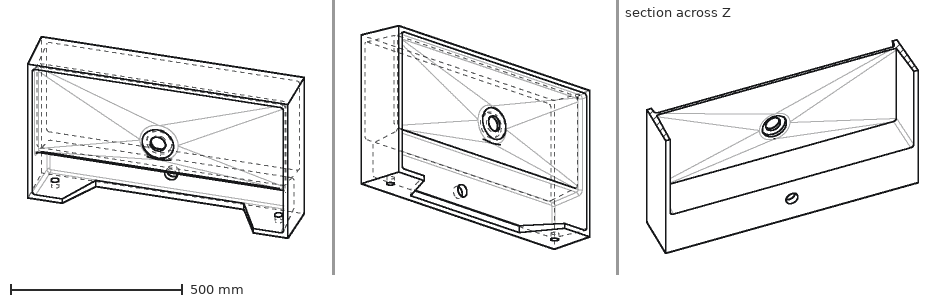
import cadquery as cq
import math

WIDTH = 800.0
DEPTH = 150.0
HEIGHT = 460.0
SIDE_DRAFT = 1.5
DRAFT = 3.0

UNDER_WALL = 14.0
UNDER_SILL = 15.0
CORNER_RADIUS = 9.5
DECK_THICKNESS = 20.0
DECK_FILLET = 7.0

FLOOR_DEPTH = 124.0
FLOOR_FILLET = 9.0
FLOOR_THICKNESS = 10.0
STEP_HEIGHT_AT_DECK = 130.0
STEP_HEIGHT_AT_FLOOR = 141.0
STEP_EDGE_RADIUS = 7.0
BOWL_WALL = 15.0
BOWL_BOTTOM_AT_RIM = 143.0
BOWL_BOTTOM_AT_FLOOR = 155.0

DRAIN_Z = 250.0
DRAIN_HOLE_DIAMETER = 46.0
BOSS_DIAMETER = 96.0
BOSS_FLARE = 10.0
CONE_FLAT = 1.0

TAP_HOLE_DIAMETER = 37.0
TAP_HOLE_Z = 75.0
RECESS_HALF_WIDTH_OUTER = 291.0
RECESS_HALF_WIDTH_INNER = 225.0
RECESS_EDGE_DEPTH = 30.0
TAB_HOLE_DIAMETER = 23.0
TAB_HOLE_X = 340.0
TAB_HOLE_DEPTH = 61.0
TAB_CUT_HEIGHT = 50.0

SIDE_SLOPE = math.tan(math.radians(SIDE_DRAFT))
SLOPE = math.tan(math.radians(DRAFT))
BOWL_DEPTH = FLOOR_DEPTH - FLOOR_THICKNESS
BOSS_RADIUS = BOSS_DIAMETER / 2
RING_RADIUS = BOSS_RADIUS + BOSS_FLARE
RING_DEPTH = DEPTH - BOSS_FLARE
UNDER_HALF_WIDTH = WIDTH / 2 - DEPTH * SIDE_SLOPE - UNDER_WALL
UNDER_TOP = HEIGHT - DEPTH * SLOPE - UNDER_WALL
FLOOR_TAPER = (DEPTH - FLOOR_DEPTH) * SLOPE
FLOOR_HALF_WIDTH = UNDER_HALF_WIDTH - FLOOR_TAPER - FLOOR_FILLET
FLOOR_TOP = UNDER_TOP - FLOOR_TAPER - FLOOR_FILLET
FLOOR_BOTTOM = STEP_HEIGHT_AT_FLOOR + STEP_EDGE_RADIUS
DRAIN_SEAT_RADIUS = BOSS_RADIUS - FLOOR_THICKNESS


def plane_at(depth):
    """XZ plane at the given depth; local x is X and local y is Z."""
    return cq.Workplane("XZ", origin=(0, -depth, 0))


def rectangle(half_width, bottom, top, radius=0.0):
    """Rectangle centred on X = 0 between two Z levels, with optional rounded corners."""
    sketch = cq.Sketch().rect(2 * half_width, top - bottom)
    if radius:
        sketch = sketch.vertices().fillet(radius)
    return sketch.moved(cq.Location(cq.Vector(0, (bottom + top) / 2, 0)))


def frustum(depth_a, sketch_a, depth_b, sketch_b):
    """Ruled solid between outlines at two depths."""
    end = sketch_b.moved(cq.Location(cq.Vector(0, 0, depth_b - depth_a)))
    return plane_at(depth_a).placeSketch(sketch_a, end).loft(ruled=True)


def make_outer_block():
    rim = rectangle(WIDTH / 2, 0, HEIGHT)
    underside = rectangle(WIDTH / 2 - DEPTH * SIDE_SLOPE, 0, HEIGHT - DEPTH * SLOPE)
    return frustum(0, rim, DEPTH, underside)


def make_floor_pyramid(base_depth, half_width, bottom, top, ring_radius, ring_depth):
    """Sloped floor running from a rectangle to the ring around the drain."""
    base = rectangle(half_width, bottom, top, CORNER_RADIUS)
    ring = rectangle(ring_radius, DRAIN_Z - ring_radius, DRAIN_Z + ring_radius, ring_radius - CONE_FLAT)
    return frustum(base_depth, base, ring_depth, ring)


def make_bowl_block():
    """Solid stretch above the tap deck, with a sloped step facing the deck."""
    step_slope = (STEP_HEIGHT_AT_FLOOR - STEP_HEIGHT_AT_DECK) / (FLOOR_DEPTH - DECK_THICKNESS)
    rim_height = STEP_HEIGHT_AT_DECK - DECK_THICKNESS * step_slope
    profile = [(0, rim_height), (-FLOOR_DEPTH, STEP_HEIGHT_AT_FLOOR), (-FLOOR_DEPTH, HEIGHT), (0, HEIGHT)]
    return cq.Workplane("YZ").polyline(profile).close().extrude(WIDTH / 2, both=True)


def make_under_cavity():
    """Drafted cavity with a shallow part under the bowl and a deep part under the tap deck."""
    opening = rectangle(UNDER_HALF_WIDTH, UNDER_SILL, UNDER_TOP, CORNER_RADIUS)
    taper = (DEPTH - DECK_THICKNESS) * SLOPE
    deck = rectangle(UNDER_HALF_WIDTH - taper, UNDER_SILL + taper, UNDER_TOP - taper, CORNER_RADIUS)
    cavity = frustum(DEPTH, opening, DECK_THICKNESS, deck).cut(make_bowl_block())
    step_edge = cq.selectors.NearestToPointSelector((0, -FLOOR_DEPTH, STEP_HEIGHT_AT_FLOOR))
    cavity = cavity.edges(step_edge).fillet(STEP_EDGE_RADIUS)
    floor = cq.selectors.NearestToPointSelector((0, -FLOOR_DEPTH, (FLOOR_BOTTOM + FLOOR_TOP) / 2))
    above_step = cq.selectors.BoxSelector((-WIDTH, -DEPTH, FLOOR_BOTTOM + FLOOR_FILLET), (WIDTH, 0, HEIGHT))
    floor_edges = cavity.faces(floor).edges(above_step)
    cavity = floor_edges.fillet(FLOOR_FILLET)
    return cavity.faces(">Y").edges().fillet(DECK_FILLET)


def make_bowl():
    """Open bowl on the rim side, one floor thickness behind the underside."""
    half_width = WIDTH / 2 - BOWL_WALL
    top = HEIGHT - BOWL_WALL
    rim = rectangle(half_width, BOWL_BOTTOM_AT_RIM, top, CORNER_RADIUS)
    floor_half_width = half_width - BOWL_DEPTH * SLOPE
    floor_top = top - BOWL_DEPTH * SLOPE
    floor = rectangle(floor_half_width, BOWL_BOTTOM_AT_FLOOR, floor_top, CORNER_RADIUS)
    bowl = frustum(0, rim, BOWL_DEPTH, floor)
    ring_depth = RING_DEPTH - FLOOR_THICKNESS
    sloped_floor = make_floor_pyramid(
        BOWL_DEPTH, floor_half_width, BOWL_BOTTOM_AT_FLOOR, floor_top, BOSS_RADIUS, ring_depth
    )
    drain_seat = plane_at(BOWL_DEPTH).center(0, DRAIN_Z).circle(DRAIN_SEAT_RADIUS)
    return bowl.union(sloped_floor).union(drain_seat.extrude(DEPTH - FLOOR_THICKNESS - BOWL_DEPTH))


def make_underside_floor():
    """Sloped underside of the bowl floor with the flared drain boss."""
    floor = make_floor_pyramid(
        FLOOR_DEPTH, FLOOR_HALF_WIDTH, FLOOR_BOTTOM, FLOOR_TOP, RING_RADIUS, RING_DEPTH
    )
    middle = BOSS_FLARE * (1 - math.sqrt(0.5))
    boss = (
        cq.Workplane("XY", origin=(0, 0, DRAIN_Z))
        .moveTo(0, -FLOOR_DEPTH)
        .lineTo(RING_RADIUS, -FLOOR_DEPTH)
        .lineTo(RING_RADIUS, -RING_DEPTH)
        .threePointArc((BOSS_RADIUS + middle, -RING_DEPTH - middle), (BOSS_RADIUS, -DEPTH))
        .lineTo(0, -DEPTH)
        .close()
        .revolve(360, (0, 0, 0), (0, 1, 0))
    )
    return floor.union(boss)


def make_recess():
    """Trapezoid opening in the bottom wall that leaves a mounting tab at each end."""
    outline = [
        (-RECESS_HALF_WIDTH_OUTER, -DEPTH),
        (-RECESS_HALF_WIDTH_INNER, -RECESS_EDGE_DEPTH),
        (RECESS_HALF_WIDTH_INNER, -RECESS_EDGE_DEPTH),
        (RECESS_HALF_WIDTH_OUTER, -DEPTH),
    ]
    return cq.Workplane("XY").polyline(outline).close().extrude(TAB_CUT_HEIGHT)


def make_tab_holes():
    centers = [(side * TAB_HOLE_X, -TAB_HOLE_DEPTH) for side in (-1, 1)]
    return cq.Workplane("XY").pushPoints(centers).circle(TAB_HOLE_DIAMETER / 2).extrude(TAB_CUT_HEIGHT)


def make_through_hole(diameter, z):
    return plane_at(0).center(0, z).circle(diameter / 2).extrude(DEPTH)


result = (
    make_outer_block()
    .cut(make_under_cavity())
    .union(make_underside_floor())
    .cut(make_bowl())
    .cut(make_recess())
    .cut(make_tab_holes())
    .cut(make_through_hole(DRAIN_HOLE_DIAMETER, DRAIN_Z))
    .cut(make_through_hole(TAP_HOLE_DIAMETER, TAP_HOLE_Z))
)